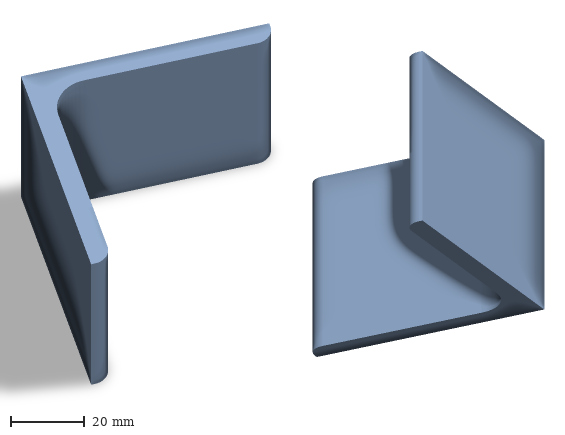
import cadquery as cq

leg_length = 70.0
leg_thickness = 6.0
length = 50.0
root_radius = 10.0
toe_radius = 5.0


def leg(size_x, size_y):
    """Plain rectangular leg with its outer corner at the origin."""
    return cq.Workplane("XY").box(size_x, size_y, length, centered=False)


def round_edge(body, x, y, radius):
    """Fillet the vertical edge that passes nearest to (x, y)."""
    edge = cq.selectors.NearestToPointSelector((x, y, length / 2))
    return body.edges("|Z").edges(edge).fillet(radius)


angle = leg(leg_length, leg_thickness).union(leg(leg_thickness, leg_length))
angle = round_edge(angle, leg_thickness, leg_thickness, root_radius)
angle = round_edge(angle, leg_length, leg_thickness, toe_radius)
angle = round_edge(angle, leg_thickness, leg_length, toe_radius)

result = angle